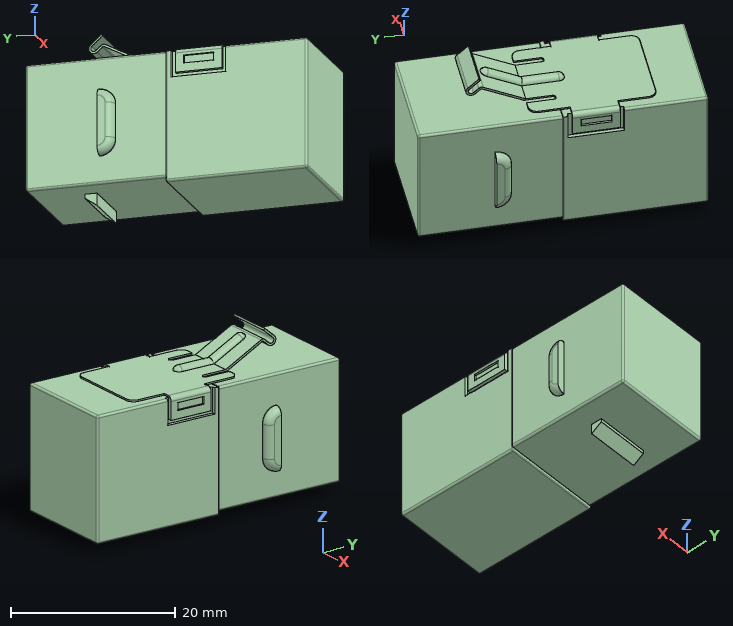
import cadquery as cq
import math

body_width = 14.55
body_length = 36.2
body_top = 16.72
step_y = 18.15
rear_bottom = 0.55
edge_radius = 0.3
step_radius = 0.1

recess_front = 10.5
recess_rear = 17.5
recess_bottom = 13.32
recess_depth = 0.5

lug_rear = 26.6
lug_length = 2.03
lug_protrusion = 1.12
lug_bottom = 4.1
lug_height = 8.5
lug_rounding = 1.0

hook_width = 7.75
hook_front = 28.1
hook_rear = 29.65
hook_tip = -1.0
hook_heel = 0.05

sheet = 0.3
plate_top = 16.95
plate_width = 11.65
plate_front = 6.08
plate_rear = 21.97
plate_corner_radius = 1.1
tab_front = 10.97
tab_rear = 16.95
tab_bottom = 13.85
tab_bend_radius = 0.6
window_front = 12.02
window_rear = 15.85
window_bottom = 14.95
window_top = 15.95
arm_width = 6.45
slot_width = 0.75
slot_end = 18.28
arm_angle = math.radians(27.5)
arm_length = 6.23
curl_angle = math.radians(41.0)
crest_radius = 0.35
curl_leg = 1.12
curl_radius = 0.55
lip_length = 1.85

rib_radius = 0.75
plate_rib_length = 4.75
arm_rib_length = 4.92


def block(x_size, y_range, z_range, x_center=0.0):
    """Box centred on x_center that spans the given Y and Z ranges."""
    y_size = y_range[1] - y_range[0]
    z_size = z_range[1] - z_range[0]
    box = cq.Workplane("XY").box(x_size, y_size, z_size, centered=(True, False, False))
    return box.translate((x_center, y_range[0], z_range[0]))


def make_body():
    rear = block(body_width, (step_y, body_length), (rear_bottom, body_top))
    rear = rear.edges("|Y or >Y").fillet(edge_radius)

    nose = block(body_width, (0, recess_front), (0, body_top))
    nose = nose.edges("|Y or <Y").fillet(edge_radius)

    middle = block(body_width, (recess_front, step_y), (0, body_top))
    middle = middle.edges("|Y and <Z").fillet(edge_radius)
    middle = middle.faces(">Y").edges().fillet(step_radius)

    body = nose.union(middle).union(rear)
    for side in (-1, 1):
        recess = block(
            2 * recess_depth,
            (recess_front, recess_rear),
            (recess_bottom, plate_top),
            side * body_width / 2,
        )
        body = body.cut(recess)
    return body


def make_lugs():
    """Both lugs as one bar through the body, with a flat rear face."""
    lug_front = lug_rear - lug_length
    lug_top = lug_bottom + lug_height
    bar = (
        cq.Workplane("YZ")
        .moveTo(lug_rear, lug_bottom)
        .radiusArc((lug_front, lug_bottom + lug_length), lug_length)
        .lineTo(lug_front, lug_top - lug_length)
        .radiusArc((lug_rear, lug_top), lug_length)
        .close()
        .extrude(body_width / 2 + lug_protrusion, both=True)
    )
    return bar.faces("<X or >X").edges("not(>Y)").fillet(lug_rounding)


def make_hook():
    return (
        cq.Workplane("YZ")
        .moveTo(hook_front, rear_bottom)
        .lineTo(hook_front, hook_tip)
        .lineTo(hook_rear, hook_heel)
        .lineTo(hook_rear, rear_bottom)
        .close()
        .extrude(hook_width / 2, both=True)
    )


def make_plate():
    plate_bottom = plate_top - sheet
    plate = block(plate_width, (plate_front, plate_rear), (plate_bottom, plate_top))
    plate = plate.edges("|Z").fillet(plate_corner_radius)

    slot_length = 2 * (plate_rear - slot_end)
    slot_offset = (arm_width + slot_width) / 2
    slots = (
        cq.Workplane("XY", origin=(0, plate_rear, plate_bottom))
        .pushPoints([(-slot_offset, 0), (slot_offset, 0)])
        .slot2D(slot_length, slot_width, 90)
        .extrude(sheet)
    )
    return plate.cut(slots)


def make_tabs():
    """Both tabs, bent down from the plate and flush with the body sides."""
    tabs = block(body_width, (tab_front, tab_rear), (tab_bottom, plate_top))
    tabs = tabs.edges("|Y and >Z").fillet(tab_bend_radius)
    return tabs


def cut_windows(part):
    for side in (-1, 1):
        window = block(
            2 * sheet,
            (window_front, window_rear),
            (window_bottom, window_top),
            side * body_width / 2,
        )
        part = part.cut(window)
    return part


def shifted(point, direction, distance):
    """Point moved by a distance along a unit direction in the YZ plane."""
    return (point[0] + distance * direction[0], point[1] + distance * direction[1])


def make_arm():
    """Sheet swept along its middle line: plate, raised arm, curl and lip."""
    mid_z = plate_top - sheet / 2
    bend = (plate_rear, mid_z)
    rise = (math.cos(arm_angle), math.sin(arm_angle))
    along = (math.cos(curl_angle), -math.sin(curl_angle))
    across = (math.sin(curl_angle), math.cos(curl_angle))
    crest_tangent = crest_radius * math.tan((arm_angle + curl_angle) / 2)

    crest = shifted(bend, rise, arm_length)
    crest_start = shifted(crest, rise, -crest_tangent)
    crest_end = shifted(crest, along, crest_tangent)
    curl_start = shifted(crest, along, curl_leg)
    curl_end = shifted(curl_start, across, 2 * curl_radius)
    lip_tip = shifted(curl_end, along, -lip_length)

    path = (
        cq.Workplane("YZ")
        .moveTo(slot_end, mid_z)
        .lineTo(*bend)
        .lineTo(*crest_start)
        .tangentArcPoint(crest_end, relative=False)
        .lineTo(*curl_start)
        .tangentArcPoint(curl_end, relative=False)
        .lineTo(*lip_tip)
    )
    section = cq.Workplane("XZ", origin=(0, slot_end, mid_z)).rect(arm_width, sheet)
    return section.sweep(path, transition="right")


def half_round(length):
    """Half-round bar along +Y on the XY plane, with a ball end."""
    bar = cq.Workplane("XZ").circle(rib_radius).extrude(-length)
    bar = bar.union(cq.Workplane("XY").sphere(rib_radius).translate((0, length, 0)))
    lower_half = block(2 * rib_radius, (0, length + rib_radius), (-rib_radius, 0))
    near_end = block(2 * rib_radius, (-rib_radius, 0), (-rib_radius, rib_radius))
    return bar.cut(lower_half).cut(near_end)


def make_rib():
    bend_point = (0, plate_rear, plate_top - sheet / 2)
    on_plate = half_round(plate_rib_length).rotate((0, 0, 0), (0, 0, 1), 180)
    on_arm = half_round(arm_rib_length).rotate((0, 0, 0), (1, 0, 0), math.degrees(arm_angle))
    return on_plate.union(on_arm).translate(bend_point)


result = make_body()
for feature in (make_lugs(), make_hook(), make_plate(), make_tabs(), make_arm(), make_rib()):
    result = result.union(feature)
result = cut_windows(result)